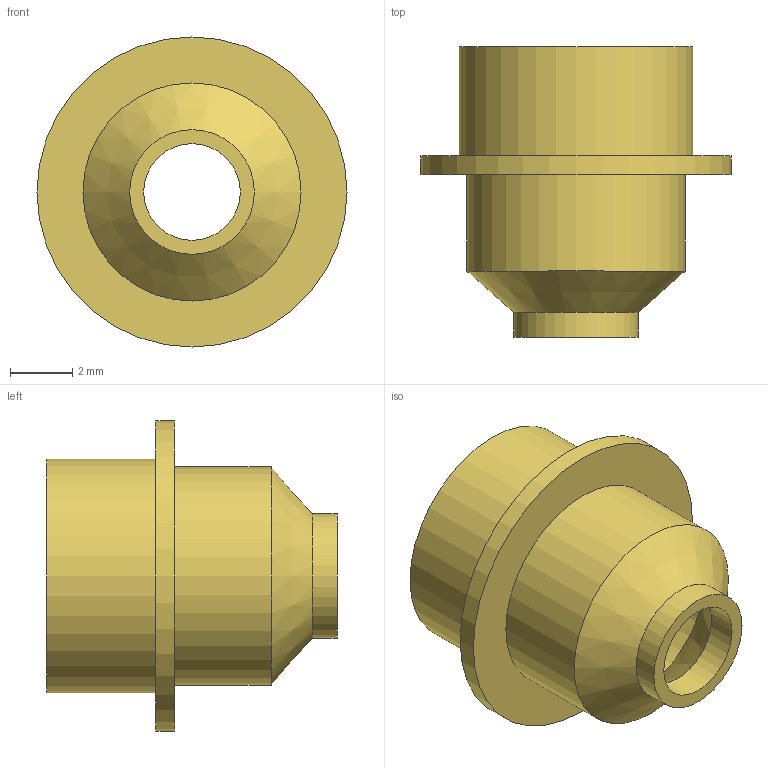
import cadquery as cq

nose_diameter = 4.0
body_diameter = 7.0
flange_diameter = 9.95
rear_diameter = 7.5

nose_bore_diameter = 3.1
main_bore_diameter = 6.1

nose_length = 0.8
cone_length = 1.32
body_length = 3.1
flange_thickness = 0.6
rear_length = 3.5

nose_bore_length = 0.93
bore_cone_length = 1.8

nose_end = nose_length
cone_end = nose_end + cone_length
body_end = cone_end + body_length
flange_end = body_end + flange_thickness
rear_end = flange_end + rear_length
bore_cone_end = nose_bore_length + bore_cone_length


def revolve_about_y(profile):
    """Revolve a closed XY-plane profile a full turn about the Y axis."""
    return profile.close().revolve(360, (0, 0, 0), (0, 1, 0))


def outer_body():
    """Solid stepped body: nose, cone, front body, flange and rear body."""
    return revolve_about_y(
        cq.Workplane("XY")
        .moveTo(0, 0)
        .lineTo(nose_diameter / 2, 0)
        .lineTo(nose_diameter / 2, nose_end)
        .lineTo(body_diameter / 2, cone_end)
        .lineTo(body_diameter / 2, body_end)
        .lineTo(flange_diameter / 2, body_end)
        .lineTo(flange_diameter / 2, flange_end)
        .lineTo(rear_diameter / 2, flange_end)
        .lineTo(rear_diameter / 2, rear_end)
        .lineTo(0, rear_end)
    )


def through_bore():
    """Bore that widens through a cone from the nose hole to the main bore."""
    return revolve_about_y(
        cq.Workplane("XY")
        .moveTo(0, 0)
        .lineTo(nose_bore_diameter / 2, 0)
        .lineTo(nose_bore_diameter / 2, nose_bore_length)
        .lineTo(main_bore_diameter / 2, bore_cone_end)
        .lineTo(main_bore_diameter / 2, rear_end)
        .lineTo(0, rear_end)
    )


result = outer_body().cut(through_bore())